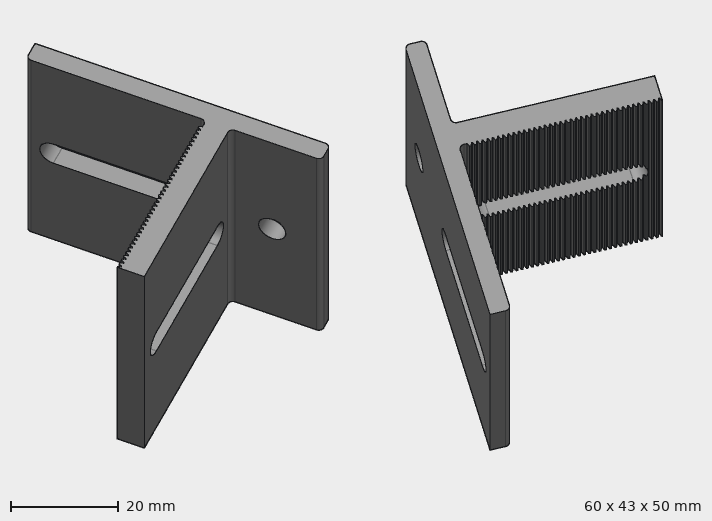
import cadquery as cq

plate_width = 60.0
depth = 43.0
height = 50.0

plate_thickness = 4.0
corner_radius = 1.0

web_right = 41.4
web_thickness = 4.85
web_left = web_right - web_thickness

tooth_count = 38
tooth_pitch = 36.0 / 36
tooth_height = 0.65
tooth_crest = 0.3
tooth_base = 0.85

hole_diameter = 5.5
hole_x = 50.0
plate_slot_start = 2.75
plate_slot_end = 33.8
web_slot_start = 2.75
web_slot_end = 36.05

plate_front = depth - plate_thickness


def plate_and_web():
    """T section with rounded corners; the back left corner stays sharp."""
    plate = (
        cq.Workplane("XY").rect(plate_width, plate_thickness).extrude(height)
        .translate((plate_width / 2, depth - plate_thickness / 2, 0))
    )
    web_length = plate_front + plate_thickness / 2
    web = cq.Workplane("XY").box(web_thickness, web_length, height, centered=False)
    section = plate.union(web.translate((web_left, 0, 0)))
    rounded = [
        (0, plate_front),
        (plate_width, plate_front),
        (plate_width, depth),
        (web_left, plate_front),
        (web_right, plate_front),
    ]
    for x, y in rounded:
        corner = cq.selectors.NearestToPointSelector((x, y, height / 2))
        section = section.edges(corner).fillet(corner_radius)
    return section


def teeth():
    """Row of trapezoid teeth; the front end of the web cuts the first one in half."""
    inside_x = web_left + tooth_height
    crest_x = web_left - tooth_height
    outline = [(inside_x, 0), (crest_x, 0), (crest_x, tooth_crest / 2), (web_left, tooth_base / 2)]
    for i in range(1, tooth_count):
        y = i * tooth_pitch
        outline += [
            (web_left, y - tooth_base / 2),
            (crest_x, y - tooth_crest / 2),
            (crest_x, y + tooth_crest / 2),
            (web_left, y + tooth_base / 2),
        ]
    outline.append((inside_x, outline[-1][1]))
    return cq.Workplane("XY").polyline(outline).close().extrude(height)


def slot(plane, start, end, reach):
    """Cutter for a round-ended slot at mid-height, running from start to end."""
    centre = (start + end) / 2
    return (
        cq.Workplane(plane).center(centre, height / 2)
        .slot2D(end - start, hole_diameter).extrude(reach)
    )


plate_slot = slot("XZ", plate_slot_start, plate_slot_end, -depth)
web_slot = slot("YZ", web_slot_start, web_slot_end, plate_width)
hole = cq.Workplane("XZ").center(hole_x, height / 2).circle(hole_diameter / 2).extrude(-depth)

result = (
    plate_and_web()
    .union(teeth())
    .cut(plate_slot)
    .cut(web_slot)
    .cut(hole)
)